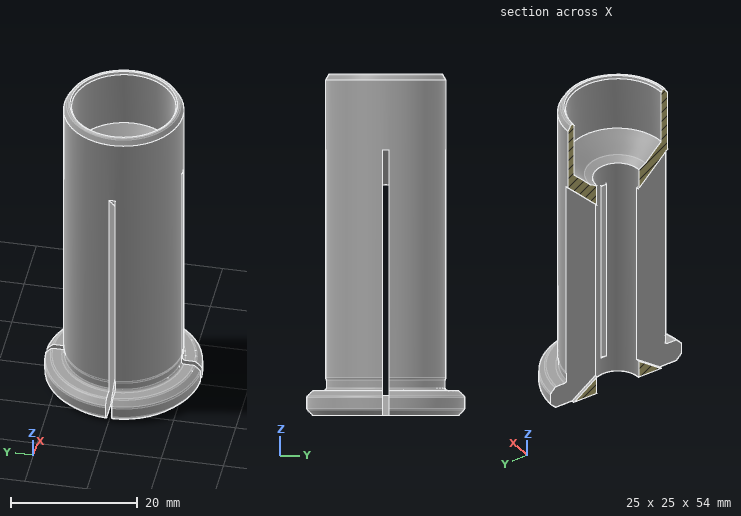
import cadquery as cq
import math

LENGTH = 54.0
BODY_RADIUS = 19.05 / 2

FLANGE_RADIUS = 12.5
FLANGE_THICKNESS = 4.0
FLANGE_CHAMFER = 1.0
FLANGE_EDGE_FILLET = 0.4

UNDERCUT_RADIUS = BODY_RADIUS - 0.12
UNDERCUT_TOP = 5.6
UNDERCUT_TAPER_TOP = 6.0
UNDERCUT_FILLET = 0.4

RIM_HALF_ANGLE = 30.0
RIM_BEVEL_HEIGHT = 1.0
RIM_BEVEL_WIDTH = RIM_BEVEL_HEIGHT * math.tan(math.radians(RIM_HALF_ANGLE))
RIM_FILLET = 0.3
RIM_INNER_BEVEL_WIDTH = 0.25

SOCKET_RADIUS = 16.5 / 2
SOCKET_FLOOR = 44.0
SEAT_RADIUS = 10.5 / 2
SEAT_HALF_ANGLE = 45.0
BORE_RADIUS = 7.94 / 2
SHOULDER_HALF_ANGLE = 60.0

SLOT_COUNT = 4
SLOT_WIDTH = 1.0
SLOT_TOP = 42.0
SLOT_ROOF_ANGLE = 45.0
SLOT_FLOOR_ANGLE = 36.0
SLOT_FLOOR_AT_BORE = 3.2
SLOT_OVERCUT = 1.0

EDGE_TOLERANCE = 0.01


def cone_depth(outer_radius, inner_radius, half_angle):
    """Axial length of a cone between two radii."""
    return (outer_radius - inner_radius) / math.tan(math.radians(half_angle))


def fillet_circle(solid, radius, height, fillet):
    """Round the circular edge of the given radius at the given height."""

    def is_wanted(edge):
        if edge.geomType() != "CIRCLE":
            return False
        same_radius = abs(edge.radius() - radius) < EDGE_TOLERANCE
        return same_radius and abs(edge.Center().z - height) < EDGE_TOLERANCE

    return solid.newObject([edge for edge in solid.edges().vals() if is_wanted(edge)]).fillet(fillet)


def make_body():
    """Revolved outside of the sleeve, still without bore and slots."""
    body = (
        cq.Workplane("XZ")
        .lineTo(FLANGE_RADIUS - FLANGE_CHAMFER, 0)
        .lineTo(FLANGE_RADIUS, FLANGE_CHAMFER)
        .lineTo(FLANGE_RADIUS, FLANGE_THICKNESS - FLANGE_CHAMFER)
        .lineTo(FLANGE_RADIUS - FLANGE_CHAMFER, FLANGE_THICKNESS)
        .lineTo(UNDERCUT_RADIUS, FLANGE_THICKNESS)
        .lineTo(UNDERCUT_RADIUS, UNDERCUT_TOP)
        .lineTo(BODY_RADIUS, UNDERCUT_TAPER_TOP)
        .lineTo(BODY_RADIUS, LENGTH - RIM_BEVEL_HEIGHT)
        .lineTo(BODY_RADIUS - RIM_BEVEL_WIDTH, LENGTH)
        .lineTo(0, LENGTH)
        .close()
        .revolve(360, (0, 0, 0), (0, 1, 0))
    )
    flange_edges = [
        (FLANGE_RADIUS, FLANGE_CHAMFER),
        (FLANGE_RADIUS, FLANGE_THICKNESS - FLANGE_CHAMFER),
        (FLANGE_RADIUS - FLANGE_CHAMFER, FLANGE_THICKNESS),
    ]
    for radius, height in flange_edges:
        body = fillet_circle(body, radius, height, FLANGE_EDGE_FILLET)
    body = fillet_circle(body, UNDERCUT_RADIUS, FLANGE_THICKNESS, UNDERCUT_FILLET)
    return fillet_circle(body, BODY_RADIUS - RIM_BEVEL_WIDTH, LENGTH, RIM_FILLET)


def make_bore():
    """Revolved cavity: through bore, shoulder, seat cone, socket and rim bevel."""
    seat_bottom = SOCKET_FLOOR - cone_depth(SOCKET_RADIUS, SEAT_RADIUS, SEAT_HALF_ANGLE)
    shoulder_bottom = seat_bottom - cone_depth(SEAT_RADIUS, BORE_RADIUS, SHOULDER_HALF_ANGLE)
    rim_radius = SOCKET_RADIUS + RIM_INNER_BEVEL_WIDTH
    rim_bevel_bottom = LENGTH - cone_depth(rim_radius, SOCKET_RADIUS, RIM_HALF_ANGLE)
    return (
        cq.Workplane("XZ")
        .lineTo(BORE_RADIUS, 0)
        .lineTo(BORE_RADIUS, shoulder_bottom)
        .lineTo(SEAT_RADIUS, seat_bottom)
        .lineTo(SOCKET_RADIUS, SOCKET_FLOOR)
        .lineTo(SOCKET_RADIUS, rim_bevel_bottom)
        .lineTo(rim_radius, LENGTH)
        .lineTo(0, LENGTH)
        .close()
        .revolve(360, (0, 0, 0), (0, 1, 0))
    )


def make_slot():
    """Radial slot along +X; its sloping floor breaks out through the base."""
    outer = FLANGE_RADIUS + SLOT_OVERCUT
    roof_slope = math.tan(math.radians(SLOT_ROOF_ANGLE))
    floor_slope = math.tan(math.radians(SLOT_FLOOR_ANGLE))
    return (
        cq.Workplane("XZ")
        .moveTo(0, SLOT_FLOOR_AT_BORE + BORE_RADIUS * floor_slope)
        .lineTo(outer, SLOT_FLOOR_AT_BORE - (outer - BORE_RADIUS) * floor_slope)
        .lineTo(outer, SLOT_TOP + (outer - BODY_RADIUS) * roof_slope)
        .lineTo(0, SLOT_TOP - BODY_RADIUS * roof_slope)
        .close()
        .extrude(SLOT_WIDTH / 2, both=True)
    )


result = make_body().cut(make_bore())
for index in range(SLOT_COUNT):
    result = result.cut(make_slot().rotate((0, 0, 0), (0, 0, 1), index * 360 / SLOT_COUNT))